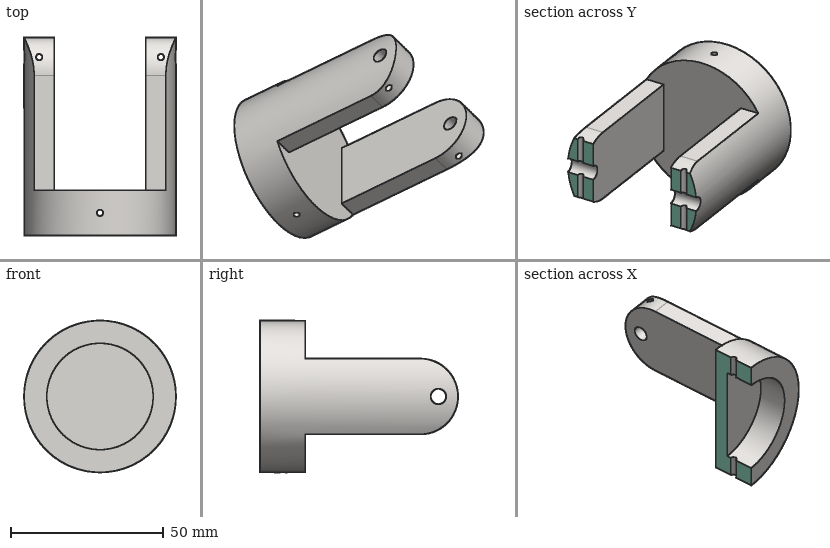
import cadquery as cq

outer_diameter = 50.0
bore_diameter = 35.0
cap_length = 15.0
bore_depth = 10.0

overall_length = 65.2
arm_width = 25.0
arm_gap = 30.0
arm_end_radius = arm_width / 2
arm_end_center_y = overall_length - arm_end_radius

pivot_diameter = 5.0
pin_diameter = 2.0
pivot_y = 58.7
cap_pin_y = cap_length / 2
arm_pin_x = (outer_diameter + arm_gap) / 4

through_length = 2 * outer_diameter


def cylinder_along_y(diameter, length):
    """Cylinder centred on the Y axis, starting at Y = 0."""
    return cq.Workplane("XZ").circle(diameter / 2).extrude(-length)


def arm_profile():
    """Side outline of the arms in the YZ plane, with a round free end, swept across X."""
    half_width = arm_width / 2
    return (
        cq.Workplane("YZ")
        .moveTo(0, -half_width)
        .lineTo(arm_end_center_y, -half_width)
        .threePointArc((overall_length, 0), (arm_end_center_y, half_width))
        .lineTo(0, half_width)
        .close()
        .extrude(outer_diameter, both=True)
    )


def fork_arms():
    """Round bar trimmed to the arm outline, with the gap between the arms removed."""
    gap = cq.Workplane("XY").box(arm_gap, overall_length, outer_diameter, centered=(True, False, True))
    gap = gap.translate((0, cap_length, 0))
    arms = cylinder_along_y(outer_diameter, overall_length).intersect(arm_profile())
    return arms.cut(gap)


def pin_hole(x, y):
    """Small hole along Z through the whole part."""
    return cq.Workplane("XY").center(x, y).circle(pin_diameter / 2).extrude(through_length, both=True)


def pivot_hole():
    """Hole along X through both arms."""
    return cq.Workplane("YZ").center(pivot_y, 0).circle(pivot_diameter / 2).extrude(through_length, both=True)


result = cylinder_along_y(outer_diameter, cap_length).union(fork_arms())
result = result.cut(cylinder_along_y(bore_diameter, bore_depth))
result = result.cut(pivot_hole())
for pin_x, pin_y in [(0, cap_pin_y), (-arm_pin_x, pivot_y), (arm_pin_x, pivot_y)]:
    result = result.cut(pin_hole(pin_x, pin_y))